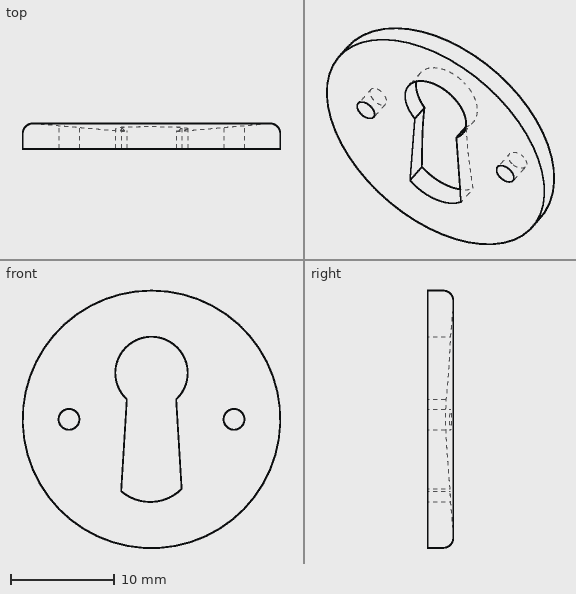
import cadquery as cq
import math

plate_diameter = 25.0
plate_thickness = 2.5
rim_radius = 1.0

screw_hole_diameter = 2.0
screw_hole_spacing = 16.0

head_diameter = 7.0
keyhole_half_height = 8.0
slot_top_half_width = 2.38
slot_left_corner = (-2.93, -6.97)
slot_right_corner = (2.91, -6.75)
slot_lowest_point = (-0.15, -keyhole_half_height)

plate_radius = plate_diameter / 2
side_wall_height = plate_thickness - rim_radius
rim_center_distance = plate_radius - rim_radius

head_radius = head_diameter / 2
head_center_z = keyhole_half_height - head_radius
slot_top_z = head_center_z - math.sqrt(head_radius**2 - slot_top_half_width**2)


def rim_point(angle):
    """(Y, Z) point on the rim rounding; the angle in radians is measured from +Z towards +Y."""
    y = side_wall_height + rim_radius * math.sin(angle)
    z = rim_center_distance + rim_radius * math.cos(angle)
    return (y, z)


def make_plate():
    """Half section revolved about Y; the cone's apex is level with the top of the side wall."""
    cone_slope = math.asin(rim_radius / rim_center_distance)
    rim_end_angle = math.pi / 2 + cone_slope
    half_section = (
        cq.Workplane("YZ")
        .moveTo(0, 0)
        .lineTo(0, plate_radius)
        .lineTo(side_wall_height, plate_radius)
        .threePointArc(rim_point(rim_end_angle / 2), rim_point(rim_end_angle))
        .lineTo(side_wall_height, 0)
        .close()
    )
    return half_section.revolve(360, (0, 0), (1, 0))


def make_screw_holes():
    centers = [(side * screw_hole_spacing / 2, 0) for side in (-1, 1)]
    holes = cq.Workplane("XZ").pushPoints(centers).circle(screw_hole_diameter / 2)
    return holes.extrude(-plate_thickness)


def make_keyhole():
    outline = (
        cq.Workplane("XZ")
        .moveTo(-slot_top_half_width, slot_top_z)
        .threePointArc((0, keyhole_half_height), (slot_top_half_width, slot_top_z))
        .lineTo(*slot_right_corner)
        .threePointArc(slot_lowest_point, slot_left_corner)
        .close()
    )
    return outline.extrude(-plate_thickness)


result = make_plate().cut(make_screw_holes()).cut(make_keyhole())